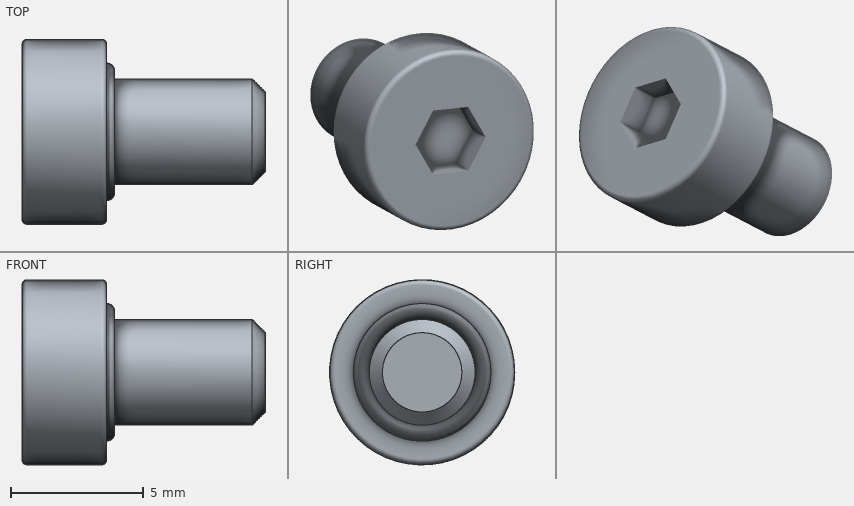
import cadquery as cq
import math

HEAD_DIAMETER = 7.0
HEAD_HEIGHT = 3.2
HEAD_EDGE_RADIUS = 0.2

SHANK_DIAMETER = 4.0
SHANK_LENGTH = 6.0
TIP_CHAMFER = 0.5

HEX_SIDES = 6
HEX_ACROSS_FLATS = 2.5
HEX_DEPTH = 1.25

CORD_DIAMETER = 0.6

head_radius = HEAD_DIAMETER / 2
shank_radius = SHANK_DIAMETER / 2
cord_radius = CORD_DIAMETER / 2
ring_center_radius = shank_radius + cord_radius
ring_outer_radius = shank_radius + CORD_DIAMETER
head_face_x = -HEAD_HEIGHT
hex_across_corners = HEX_ACROSS_FLATS / math.cos(math.pi / HEX_SIDES)


def revolve_about_x(profile):
    """Turn a closed profile (X = axial, Y = radial) a full turn about the X axis."""
    return profile.revolve(360, (0, 0, 0), (1, 0, 0))


def turned_blank():
    """Head, O-ring groove and chamfered shank in one turned body."""
    half_profile = (
        cq.Workplane("XY")
        .moveTo(head_face_x, 0)
        .lineTo(head_face_x, head_radius)
        .lineTo(0, head_radius)
        .lineTo(0, ring_outer_radius)
        .threePointArc((-cord_radius, ring_center_radius), (0, shank_radius))
        .lineTo(SHANK_LENGTH - TIP_CHAMFER, shank_radius)
        .lineTo(SHANK_LENGTH, shank_radius - TIP_CHAMFER)
        .lineTo(SHANK_LENGTH, 0)
        .close()
    )
    return revolve_about_x(half_profile)


def round_head_edges(body):
    """Round the two outer rims of the head."""
    head_rims = cq.selectors.RadiusNthSelector(-1)
    return body.edges("%CIRCLE").edges(head_rims).fillet(HEAD_EDGE_RADIUS)


def hex_socket():
    """Blind hexagonal drive socket with two corners on the Y axis."""
    return (
        cq.Workplane("YZ", origin=(head_face_x, 0, 0))
        .polygon(HEX_SIDES, hex_across_corners)
        .extrude(HEX_DEPTH)
    )


def make_screw():
    return round_head_edges(turned_blank()).cut(hex_socket()).solids()


def make_o_ring():
    """Round-cord ring centred on the plane of the head underside."""
    cord_section = cq.Workplane("XY").center(0, ring_center_radius).circle(cord_radius)
    return cord_section.revolve(360, (0, -ring_center_radius, 0), (1, -ring_center_radius, 0))


screw = make_screw()
o_ring = make_o_ring()

result = cq.Compound.makeCompound([screw.val(), o_ring.val()])